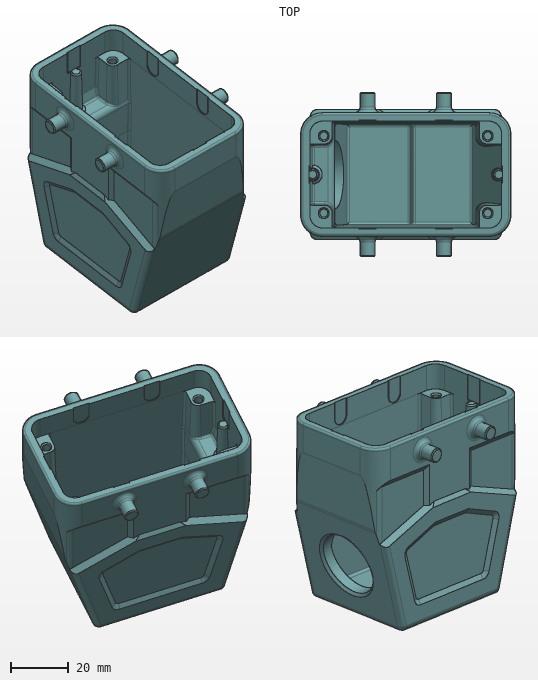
import cadquery as cq
import math

length = 73.0
height = 72.0
collar_width = 42.9
collar_radius = 7.5
collar_base = 22.0
rim_round = 0.8
half_length = length / 2

bend_high = 61.0
bend_low = 40.5
bend_low_x = 34.4
bend_low_round = 6.0
end_lean = math.radians(14.3)
end_slope = math.tan(end_lean)
foot_x = bend_low_x - bend_low * end_slope

block_width = 45.2
block_round = 2.2
roof_angle = 20.4
roof_flat_x = 9.4
roof_eave_z = 43.0
flat_bevel_rise = 3.0
shoulder_bevel_rise = 1.55

recess_width = 40.6
recess_top = 57.35
recess_inner_x = 11.6
recess_bevel = 1.8
recess_edge_round = 3.0
corner_run = math.sqrt(
    collar_radius ** 2 - (recess_width / 2 - collar_width / 2 + collar_radius) ** 2
)
recess_end_x = half_length - collar_radius + corner_run
panel_depth = 1.1
panel_bevel = 1.8
panel_radius = 3.0
panel_bottom_z = 8.0
panel_top_z = 37.1
panel_corner_z = 31.0
panel_bottom_x = 17.7
panel_top_x = 8.1
panel_corner_x = 23.75

pin_x = 13.25
pin_z = 65.8
pin_tip_y = 28.5
pin_radius = 2.6
pin_tip_round = 0.4
pin_root_y = 23.4
pin_neck_y = 22.6
pin_neck_radius = 2.85
pin_flare_radius = 4.7
pin_embed = 1.0

mouth_length = 66.6
mouth_width = 37.1
mouth_radius = 4.5
draft_start_z = 62.5
floor_width = 34.6
low_floor_z = 4.5
high_floor_z = 9.0
floor_step_x = 1.5
floor_round = 0.9
end_wall = 3.3
cable_wall = 5.05
cable_face_x = -24.7
shelf_z = 45.0
shelf_round = 2.2

boss_x = 25.6
boss_y = 10.66
boss_radius = 2.5
boss_draft = 1.6
root_round = 0.8
screw_x = 28.45
screw_y = 13.4
screw_diameter = 2.8
screw_mouth_diameter = 3.8
screw_depth = 12.0
post_x = 32.3
post_radius = 1.9
post_draft = 1.4
post_bevel = 0.5
post_foot_radius = 3.3
groove_width = 5.8
groove_depth = 0.35

entry_z = 20.2
entry_diameter = 23.6
entry_mouth_diameter = 25.6
entry_reach = 9.0

SIDES = (-1, 1)


def prism_along_y(points, width):
    """Closed XZ outline extruded symmetrically about the XZ plane."""
    return cq.Workplane("XZ").polyline(points).close().extrude(width / 2, both=True)


def mirrored_points(right_points):
    """Close an outline given by its +X points, listed from bottom to top."""
    return right_points + [(-x, z) for x, z in reversed(right_points)]


def roof_prism(rise, angle, eave_x):
    """Solid below a bevelled roof whose eave passes through (eave_x, roof_eave_z)."""
    reach = 2 * length
    half_block = block_width / 2
    half_ridge = recess_width / 2
    section = [
        (-half_block, -reach),
        (-half_block, 0),
        (-half_ridge, rise),
        (half_ridge, rise),
        (half_block, 0),
        (half_block, -reach),
    ]
    prism = cq.Workplane("YZ").polyline(section).close().extrude(reach, both=True)
    prism = prism.rotate((0, 0, 0), (0, 1, 0), angle)
    return prism.translate((eave_x, 0, roof_eave_z))


def recess_cutter(x_side, y_side):
    """Pocket with bevelled walls, open towards the end of the collar."""
    depth = (collar_width - recess_width) / 2
    outer_x = length
    plane = cq.Plane(
        origin=(0, y_side * recess_width / 2, 0),
        xDir=(x_side, 0, 0),
        normal=(0, y_side, 0),
    )
    up = plane.yDir.z
    inner = [
        (recess_inner_x, up * collar_base),
        (outer_x, up * collar_base),
        (outer_x, up * recess_top),
        (recess_inner_x, up * recess_top),
    ]
    wide_x = recess_inner_x - recess_bevel
    wide_top = recess_top + recess_bevel
    outer = [
        (wide_x, up * collar_base),
        (outer_x, up * collar_base),
        (outer_x, up * wide_top),
        (wide_x, up * wide_top),
    ]
    floor_wire = cq.Workplane(plane).polyline(inner).close()
    return floor_wire.workplane(offset=depth).polyline(outer).close().loft(ruled=True)


def make_collar():
    profile = mirrored_points([
        (foot_x + collar_base * end_slope, collar_base),
        (bend_low_x, bend_low),
        (half_length, bend_high),
        (half_length, height),
    ])
    collar = (
        cq.Workplane("XY")
        .rect(length, collar_width)
        .extrude(height)
        .edges("|Z")
        .fillet(collar_radius)
        .faces(">Z")
        .edges()
        .fillet(rim_round)
    )
    lengthwise = prism_along_y(profile, 2 * collar_width)
    for x_side in SIDES:
        bend = cq.selectors.NearestToPointSelector((x_side * bend_low_x, 0, bend_low))
        lengthwise = lengthwise.edges("|Y").edges(bend).fillet(bend_low_round)
    collar = collar.intersect(lengthwise)
    for x_side in SIDES:
        for y_side in SIDES:
            collar = collar.cut(recess_cutter(x_side, y_side))
    for x_side in SIDES:
        for y_side in SIDES:
            middle = (x_side * recess_end_x, y_side * recess_width / 2, bend_low)
            recess_end = cq.selectors.NearestToPointSelector(middle)
            collar = collar.edges("|Z").edges(recess_end).fillet(recess_edge_round)
    return collar


def panel_cutter(y_side):
    """Five-sided panel recess with bevelled walls."""
    floor_y = block_width / 2 - panel_depth
    outline = mirrored_points([
        (panel_bottom_x, panel_bottom_z),
        (panel_corner_x, panel_corner_z),
        (panel_top_x, panel_top_z),
    ])
    cutter = (
        cq.Workplane("XZ", origin=(0, -floor_y, 0))
        .polyline(outline)
        .close()
        .extrude(3 * panel_depth)
    )
    cutter = cutter.edges("|Y").fillet(panel_radius)
    cutter = cutter.faces(">Y").chamfer(panel_depth, panel_bevel)
    return cutter if y_side < 0 else cutter.mirror("XZ")


def make_block():
    profile = mirrored_points([
        (foot_x, 0),
        (foot_x + height * end_slope, height),
    ])
    block = prism_along_y(profile, block_width)
    block = block.edges("not(#Z)").fillet(block_round)
    block = block.faces("<Z").edges().fillet(block_round)
    block = block.intersect(roof_prism(flat_bevel_rise, 0, 0))
    for x_side in SIDES:
        roof = roof_prism(shoulder_bevel_rise, x_side * roof_angle, x_side * roof_flat_x)
        block = block.intersect(roof)
    for y_side in SIDES:
        block = block.cut(panel_cutter(y_side))
    return block


def make_pin(x, y_side):
    """Locking pin with a flared root, revolved about its own axis along Y."""
    wall_y = collar_width / 2
    flare_run = pin_flare_radius - pin_neck_radius
    flare_rise = pin_neck_y - wall_y
    arc_radius = (flare_run ** 2 + flare_rise ** 2) / (2 * flare_rise)
    half_turn = math.asin(flare_run / arc_radius) / 2
    flare_mid = (
        pin_flare_radius - arc_radius * math.sin(half_turn),
        wall_y + arc_radius * (1 - math.cos(half_turn)),
    )
    pin = (
        cq.Workplane("XY")
        .moveTo(0, wall_y - pin_embed)
        .lineTo(pin_flare_radius, wall_y - pin_embed)
        .lineTo(pin_flare_radius, wall_y)
        .threePointArc(flare_mid, (pin_neck_radius, pin_neck_y))
        .lineTo(pin_radius, pin_root_y)
        .lineTo(pin_radius, pin_tip_y - pin_tip_round)
        .lineTo(pin_radius - pin_tip_round, pin_tip_y)
        .lineTo(0, pin_tip_y)
        .close()
        .revolve(360, (0, 0, 0), (0, 1, 0))
    )
    if y_side < 0:
        pin = pin.mirror("XZ")
    return pin.translate((x, 0, pin_z))


def make_boss(x_side, y_side):
    """Drafted corner column that carries a connector screw."""
    boss_length = half_length - boss_x
    boss_width = collar_width / 2 - boss_y
    centre = (x_side * (boss_x + boss_length / 2), y_side * (boss_y + boss_width / 2))
    return (
        cq.Workplane("XY", origin=(*centre, draft_start_z))
        .sketch()
        .rect(boss_length, boss_width)
        .vertices()
        .fillet(boss_radius)
        .finalize()
        .extrude(-draft_start_z, taper=-boss_draft)
    )


def make_post(x_side):
    """Drafted round guide post standing against the end wall."""
    base_radius = post_radius + draft_start_z * math.tan(math.radians(post_draft))
    section = [
        (0, 0),
        (base_radius, 0),
        (post_radius, draft_start_z - post_bevel),
        (post_radius - post_bevel, draft_start_z),
        (0, draft_start_z),
    ]
    post = cq.Workplane("XZ").polyline(section).close().revolve(360, (0, 0, 0), (0, 1, 0))
    return post.translate((x_side * post_x, 0, 0))


def round_near(body, points):
    """Fillet, in one step, the edges whose centres lie nearest to the points."""
    picked = []
    for point in points:
        picked.append(body.edges(cq.selectors.NearestToPointSelector(point)).val())
    return cq.Workplane(body.val().fillet(root_round, picked))


def round_roots(cavity, shelf_wall_x):
    """Round the corners where the bosses meet the walls and the cable shelf."""
    end_x = mouth_length / 2
    wall_y = mouth_width / 2
    upper_z = (shelf_z + draft_start_z) / 2
    middle_z = draft_start_z / 2
    lean_x = (shelf_wall_x - end_x) / 2
    shelf_mid_x = (shelf_wall_x + cable_face_x) / 2
    opposite = round_near(cavity, [(end_x, side * boss_y, upper_z) for side in SIDES])
    opposite = round_near(opposite, [(boss_x, side * wall_y, middle_z) for side in SIDES])

    shelf_corners = [(shelf_wall_x, 0, shelf_z)]
    for side in SIDES:
        corner_y = side * boss_y
        shelf_corners.append((-end_x, corner_y, upper_z))
        shelf_corners.append((lean_x, corner_y, shelf_z + shelf_round))
        shelf_corners.append((shelf_mid_x, corner_y, shelf_z))
    shelved = round_near(opposite, shelf_corners)
    return round_near(shelved, [(-boss_x, side * wall_y, upper_z) for side in SIDES])


def make_cavity():
    mouth_x = mouth_length / 2
    right_low_x = foot_x + high_floor_z * end_slope - end_wall
    right_knee_z = (mouth_x + end_wall - foot_x) / end_slope
    left_low_x = -(foot_x + low_floor_z * end_slope - cable_wall)
    left_knee_z = (cable_wall - cable_face_x - foot_x) / end_slope
    shelf_wall_x = -(foot_x + shelf_z * end_slope - end_wall)
    step_run = (high_floor_z - low_floor_z) * end_slope
    profile = [
        (left_low_x, low_floor_z),
        (floor_step_x, low_floor_z),
        (floor_step_x + step_run, high_floor_z),
        (right_low_x, high_floor_z),
        (mouth_x, right_knee_z),
        (mouth_x, height),
        (-mouth_x, height),
        (-mouth_x, right_knee_z),
        (shelf_wall_x, shelf_z),
        (cable_face_x, shelf_z),
        (cable_face_x, left_knee_z),
    ]
    lengthwise = prism_along_y(profile, collar_width)
    shelf_edge = cq.selectors.NearestToPointSelector((cable_face_x, 0, shelf_z))
    lengthwise = lengthwise.edges("|Y").edges(shelf_edge).fillet(shelf_round)

    half_mouth = mouth_width / 2
    half_floor = floor_width / 2
    cross_points = mirrored_points([
        (half_floor, low_floor_z),
        (half_mouth, draft_start_z),
        (half_mouth, height),
    ])
    crosswise = cq.Workplane("YZ").polyline(cross_points).close().extrude(length, both=True)
    mouth = (
        cq.Workplane("XY")
        .rect(mouth_length, mouth_width)
        .extrude(height)
        .edges("|Z")
        .fillet(mouth_radius)
    )
    cavity = mouth.intersect(lengthwise).intersect(crosswise)
    floor_edges = cq.selectors.BoxSelector(
        (-length, -length, low_floor_z - floor_round),
        (length, length, high_floor_z + floor_round),
    )
    cavity = cavity.edges(floor_edges).fillet(floor_round)

    for x_side in SIDES:
        for y_side in SIDES:
            cavity = cavity.cut(make_boss(x_side, y_side))
    cavity = round_roots(cavity, shelf_wall_x)
    for x_side in SIDES:
        cavity = cavity.cut(make_post(x_side))
    foot = cq.Solid.makeCone(
        post_foot_radius,
        post_radius,
        post_foot_radius - post_radius,
        cq.Vector(-post_x, 0, shelf_z),
        cq.Vector(0, 0, 1),
    )
    return cavity.cut(cq.Workplane(foot))


def side_groove(x, y_side):
    """Shallow round-ended groove in the side wall behind a pin."""
    rise = height - pin_z
    half_groove = groove_width / 2
    return (
        cq.Workplane("XZ", origin=(x, y_side * mouth_width / 2, pin_z))
        .moveTo(-half_groove, rise)
        .lineTo(-half_groove, 0)
        .threePointArc((0, -half_groove), (half_groove, 0))
        .lineTo(half_groove, rise)
        .close()
        .extrude(groove_depth, both=True)
    )


def end_groove(x_side):
    """Shallow groove in the end wall above a guide post."""
    depth = height - draft_start_z
    return cq.Workplane("XY").box(2 * groove_depth, groove_width, depth).translate(
        (x_side * mouth_length / 2, 0, height - depth / 2)
    )


def screw_hole(x, y):
    """Blind screw hole with a countersunk mouth."""
    sink = (screw_mouth_diameter - screw_diameter) / 2
    hole = cq.Workplane("XY", origin=(x, y, draft_start_z)).circle(screw_diameter / 2)
    cone = cq.Solid.makeCone(
        screw_mouth_diameter / 2,
        screw_diameter / 2,
        sink,
        pnt=cq.Vector(x, y, draft_start_z),
        dir=cq.Vector(0, 0, -1),
    )
    return hole.extrude(-screw_depth).union(cq.Workplane(cone))


def cable_entry():
    """Round cable hole square to the leaning end wall, with a bevelled mouth."""
    start = cq.Vector(-(foot_x + entry_z * end_slope), 0, entry_z)
    inward = cq.Vector(math.cos(end_lean), 0, math.sin(end_lean))
    bevel = (entry_mouth_diameter - entry_diameter) / 2
    bore = cq.Solid.makeCylinder(
        entry_diameter / 2, entry_reach + bevel, start - inward * bevel, inward
    )
    mouth = cq.Solid.makeCone(
        entry_mouth_diameter / 2, entry_diameter / 2, bevel, start, inward
    )
    return cq.Workplane(bore).union(cq.Workplane(mouth))


result = make_collar().union(make_block())
for pin_side in SIDES:
    for row_side in SIDES:
        result = result.union(make_pin(pin_side * pin_x, row_side))
result = result.cut(make_cavity())
for end_side in SIDES:
    result = result.cut(end_groove(end_side))
    for row_side in SIDES:
        result = result.cut(side_groove(end_side * pin_x, row_side))
        result = result.cut(screw_hole(end_side * screw_x, row_side * screw_y))
result = result.cut(cable_entry())